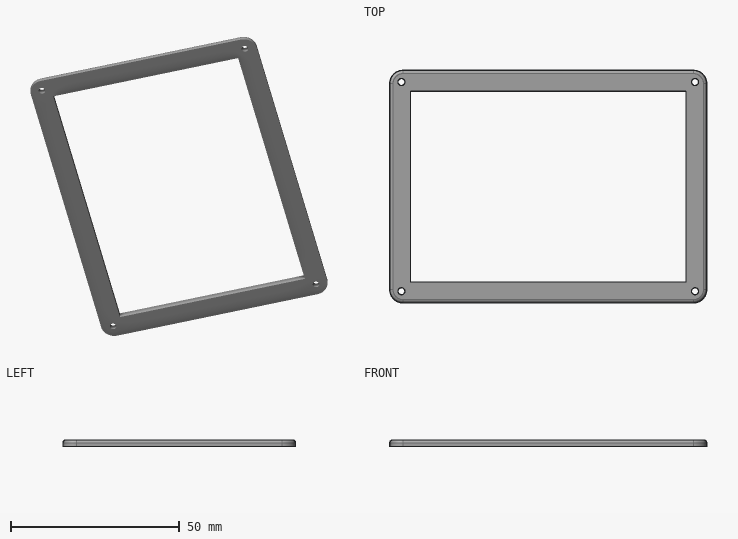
import cadquery as cq

length = 94.0
width = 69.0
thickness = 2.0
corner_radius = 4.0
top_edge_radius = 1.0

border = 6.25
window_length = length - 2 * border
window_width = width - 2 * border

hole_diameter = 2.0
hole_inset = 3.5


def rounded_plate():
    """Plate resting on Z = 0, with rounded corners and a rounded top rim."""
    plate = cq.Workplane("XY").box(length, width, thickness, centered=(True, True, False))
    plate = plate.edges("|Z").fillet(corner_radius)
    return plate.faces(">Z").edges().fillet(top_edge_radius)


def window():
    """Sharp-cornered opening through the middle of the plate."""
    return cq.Workplane("XY").rect(window_length, window_width).extrude(thickness)


def corner_holes():
    """One through hole in each corner of the frame."""
    spacing_x = length - 2 * hole_inset
    spacing_y = width - 2 * hole_inset
    return (
        cq.Workplane("XY")
        .rect(spacing_x, spacing_y, forConstruction=True)
        .vertices()
        .circle(hole_diameter / 2)
        .extrude(thickness)
    )


result = rounded_plate().cut(window()).cut(corner_holes())